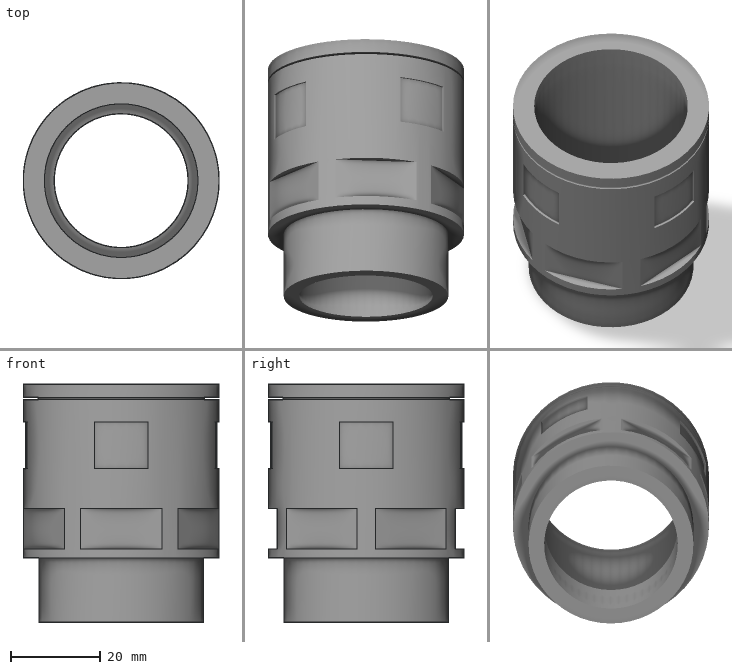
import cadquery as cq

body_diameter = 44.0
total_height = 53.5
spigot_diameter = 37.0
spigot_height = 14.5

through_bore_diameter = 30.0
upper_bore_diameter = 34.5
upper_bore_floor_z = spigot_height

cap_thickness = 3.0
groove_width = 0.5
groove_diameter = 37.4

pocket_count = 4
pocket_width = 12.0
pocket_bottom_z = 34.5
pocket_top_z = 45.0
pocket_depth = 0.5

hex_across_flats = 40.0
hex_side_count = 6
flats_rim_thickness = 2.0
flats_height = 9.0

cutter_clearance = 1.0
cutter_diameter = body_diameter + 2 * cutter_clearance


def cylinder(diameter, bottom_z, top_z):
    """Solid cylinder on the Z axis between two heights."""
    return cq.Workplane("XY").workplane(offset=bottom_z).circle(diameter / 2).extrude(top_z - bottom_z)


def ring(inner_diameter, bottom_z, top_z):
    """Ring-shaped cutter from an inner diameter to outside the body."""
    return cylinder(cutter_diameter, bottom_z, top_z).cut(cylinder(inner_diameter, bottom_z, top_z))


def make_body():
    """Body and spigot with the stepped bore."""
    spigot = cylinder(spigot_diameter, 0, spigot_height)
    body = cylinder(body_diameter, spigot_height, total_height)
    upper_bore = cylinder(upper_bore_diameter, upper_bore_floor_z, total_height)
    through_bore = cylinder(through_bore_diameter, 0, total_height)
    return spigot.union(body).cut(upper_bore).cut(through_bore)


def cut_groove(part):
    """Thin groove just below the cap."""
    groove_top_z = total_height - cap_thickness
    return part.cut(ring(groove_diameter, groove_top_z - groove_width, groove_top_z))


def cut_pockets(part):
    """Equally spaced pockets with floors concentric with the body."""
    shallow_ring = ring(body_diameter - 2 * pocket_depth, pocket_bottom_z, pocket_top_z)
    sector = (
        cq.Workplane("XY")
        .workplane(offset=pocket_bottom_z)
        .rect(cutter_diameter / 2, pocket_width, centered=(False, True))
        .extrude(pocket_top_z - pocket_bottom_z)
    )
    pocket = shallow_ring.intersect(sector)
    for index in range(pocket_count):
        angle = index * 360 / pocket_count
        part = part.cut(pocket.rotate((0, 0, 0), (0, 0, 1), angle))
    return part


def cut_wrench_flats(part):
    """Six flats, two of them facing +Y and -Y, above a full round rim."""
    flats_bottom_z = spigot_height + flats_rim_thickness
    flat_cutter = (
        cq.Workplane("XY")
        .workplane(offset=flats_bottom_z)
        .center(0, hex_across_flats / 2)
        .rect(body_diameter, cutter_diameter / 2 - hex_across_flats / 2, centered=(True, False))
        .extrude(flats_height)
    )
    for index in range(hex_side_count):
        angle = index * 360 / hex_side_count
        part = part.cut(flat_cutter.rotate((0, 0, 0), (0, 0, 1), angle))
    return part


result = cut_wrench_flats(cut_pockets(cut_groove(make_body()))).val()